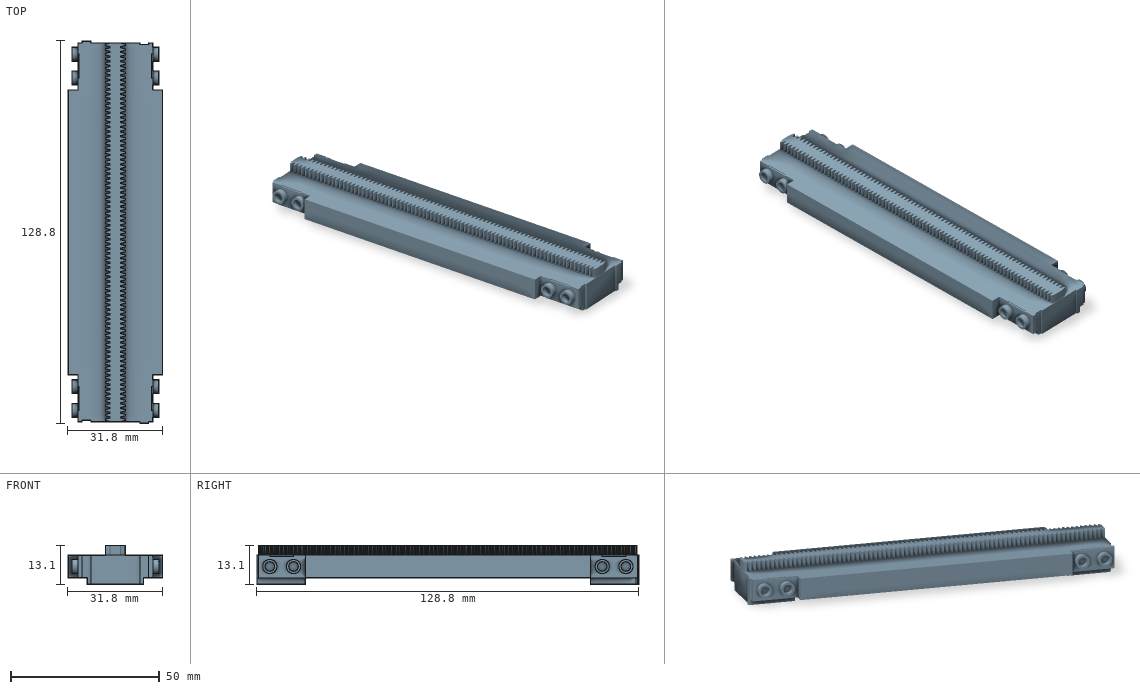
import cadquery as cq

overall_length = 128.8
key_depth = 0.5
body_length = overall_length - 2 * key_depth
overall_width = 31.8
overall_height = 13.1
deck_z = 9.8
shoulder_z = 2.2

middle_length = 96.1
end_width = 25.2
foot_width = 19.0

key_inner_x = 8.2
key_outer_x = 11.2

rail_setback = 0.06
rail_length = body_length - 2 * rail_setback
rail_width = 6.7
rail_core_width = 3.5
tooth_count = 81
root_gap = 0.32
tooth_tip = 0.45
tooth_pitch = (rail_length + root_gap) / tooth_count
tooth_base = tooth_pitch - root_gap

boss_diameter = 4.8
bore_diameter = 3.2
boss_span = 29.4
bore_depth = (boss_span - end_width) / 2
boss_z = (deck_z + shoulder_z) / 2
boss_pitch = 8.0
outer_boss_y = 60.0
inner_boss_y = outer_boss_y - boss_pitch

rebate_size = 0.4


def block(x_range, y_range, z_range):
    """Box given by its limits along each axis."""
    (x0, x1), (y0, y1), (z0, z1) = x_range, y_range, z_range
    return cq.Workplane("XY").box(x1 - x0, y1 - y0, z1 - z0, centered=False).translate((x0, y0, z0))


def centered_block(width, length, z_range):
    """Box centred on the Z axis in plan."""
    return block((-width / 2, width / 2), (-length / 2, length / 2), z_range)


def end_section():
    """T-shaped section of the block ends: a wide shoulder standing on a narrower foot."""
    shoulder = centered_block(end_width, overall_length, (shoulder_z, deck_z))
    foot = centered_block(foot_width, overall_length, (0, deck_z))
    return shoulder.union(foot)


def body():
    """Main block, with a tongue and a matching groove on each end face."""
    profile = end_section()
    solid = profile.intersect(centered_block(end_width, body_length, (0, deck_z)))
    end_y = body_length / 2
    left_key = (-key_outer_x, -key_inner_x)
    tongue = profile.intersect(block(left_key, (end_y - key_depth, end_y + key_depth), (0, deck_z)))
    groove = block(left_key, (-end_y, -end_y + key_depth), (0, deck_z))
    for angle in (0, 180):
        solid = solid.union(tongue.rotate((0, 0, 0), (0, 0, 1), angle))
        solid = solid.cut(groove.rotate((0, 0, 0), (0, 0, 1), angle))
    solid = solid.cut(centered_block(overall_width, middle_length, (0, shoulder_z)))
    return solid.union(centered_block(overall_width, middle_length, (shoulder_z, deck_z)))


def rail():
    """Central rail with a row of tapered teeth along both sides."""
    half_width = rail_width / 2
    half_core = rail_core_width / 2
    right_side = []
    for index in range(tooth_count):
        base_start = -rail_length / 2 + index * tooth_pitch
        tooth_center = base_start + tooth_base / 2
        right_side += [
            (half_core, base_start),
            (half_width, tooth_center - tooth_tip / 2),
            (half_width, tooth_center + tooth_tip / 2),
            (half_core, base_start + tooth_base),
        ]
    left_side = [(-x, y) for x, y in reversed(right_side)]
    outline = cq.Workplane("XY").workplane(offset=deck_z).polyline(right_side + left_side).close()
    return outline.extrude(overall_height - deck_z)


def side_cylinder(side, y, diameter, inner_x, outer_x):
    """Cylinder along X on one side of the block (side is -1 or 1)."""
    axis = cq.Vector(side, 0, 0)
    base = cq.Vector(side * inner_x, y, boss_z)
    return cq.Workplane(cq.Solid.makeCylinder(diameter / 2, outer_x - inner_x, base, axis))


def add_side_details(solid):
    """Bored bosses and edge rebates on the recessed sides of both ends."""
    boss_x = boss_span / 2
    wall_x = end_width / 2
    for side in (-1, 1):
        for end in (-1, 1):
            x_limits = sorted((side * (wall_x - rebate_size), side * wall_x))
            y_limits = sorted((end * inner_boss_y, end * outer_boss_y))
            solid = solid.cut(block(x_limits, y_limits, (deck_z - rebate_size, deck_z)))
            for y in (end * inner_boss_y, end * outer_boss_y):
                solid = solid.union(side_cylinder(side, y, boss_diameter, wall_x - rebate_size, boss_x))
                solid = solid.cut(side_cylinder(side, y, bore_diameter, boss_x - bore_depth, boss_x))
    return solid


result = add_side_details(body()).union(rail())